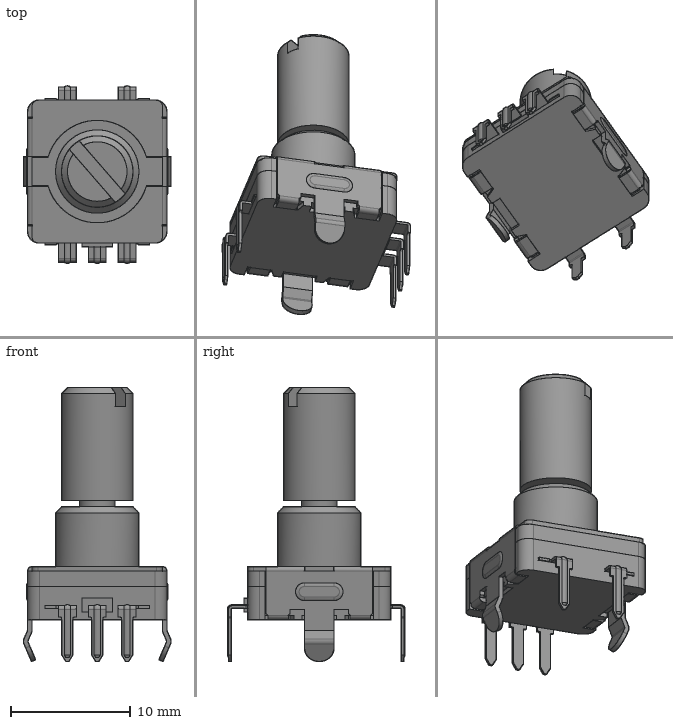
import cadquery as cq
import math

BASE_HEIGHT = 2.8
COVER_TOP = 4.48
BUSHING_TOP = 9.5
SHAFT_TOP = 19.5
TIP_DEPTH = 3.5

CASE_X = 11.7
CASE_Y = 12.0
CORNER_RADIUS = 1.0
SHEET = 0.4
INNER_X = CASE_X - 2 * SHEET
HOUSING_TOP = COVER_TOP - SHEET

PLATE_CORNER_RADIUS = 0.5
SIDE_WIDTH = 8.95
SIDE_GAP = 0.1
LEG_WIDTH = 2.5
ARM_GAP = 0.07
ARM_WIDTH = LEG_WIDTH - 2 * ARM_GAP
FLANGE_DIAMETER = 8.6
RELIEF_Y = 2.44
RELIEF_TOP = 0.9
CORNER_CUT = 0.15
TAB_INNER_Y = RELIEF_Y + CORNER_CUT
TAB_OUTER_Y = SIDE_WIDTH / 2 - CORNER_CUT
TAB_REACH = 1.2

BEAD_HEIGHT = 2.37
BEAD_STRAIGHT = 2.5
BEAD_RADIUS = 0.74
BEAD_FLAT_RADIUS = 0.44
BEAD_PROUD = 0.1

LEG_BEND_DEPTH = 0.87
LEG_KNEE_DEPTH = 1.8
LEG_KNEE_OUT = 0.4
KNEE_RADIUS = 0.53

FOOT_INNER_Y = 1.45
FOOT_OUTER_Y = 2.15
WALL_SLANT = 0.32

BOSS_WIDTH = 2.58
BOSS_BOTTOM = 0.67
BOSS_HEIGHT = 1.17
BOSS_PROUD = 0.32

BUSHING_DIAMETER = 7.0
SHAFT_DIAMETER = 6.0
NECK_DIAMETER = 3
NECK_GAP = 0.5
EDGE_CHAMFER = 0.5
SLOT_WIDTH = 1.1
SLOT_DEPTH = 1.59
SLOT_ANGLE = -49

PITCH = 2.5
FRONT_REACH = 7.61
BACK_REACH = 7.1
STRIP = 0.23
STRIP_TOP = 1.2
STRIP_BEND_RADIUS = 0.3
SHOULDER_WIDTH = 1.5
SHOULDER_BOTTOM = 0.23
PIN_WIDTH = 0.95
PIN_NOTCH_RADIUS = 0.1
TIP_WIDTH = 0.25
TIP_LENGTH = 0.55
EMBED = 1.0
RIB_WIDTH = 0.5
RIB_PROUD = 0.1
RIB_BOTTOM = 2.95
RIB_TAPER_LENGTH = 0.2
RIB_TAPER_INSET = 0.07
WING_TIP_X = 1.89
WING_SLOPE_X = 0.97
WING_PROUD = 0.14


def box(x0, x1, y0, y1, z0, z1):
    """Box between two opposite corners."""
    return cq.Workplane("XY").box(x1 - x0, y1 - y0, z1 - z0, centered=False).translate((x0, y0, z0))


def both_x_sides(solid):
    """A shape on the +X side together with its mirror image."""
    return solid.union(solid.mirror("YZ"))


def four_corners(solid):
    """A shape in the +X +Y quarter together with its three mirror images."""
    return both_x_sides(solid.union(solid.mirror("XZ")))



def terminal_rib(reach):
    """Rounded rib along the outside of a terminal, tapered just above the tip."""
    bend_y = -(reach - STRIP_BEND_RADIUS)
    bend_z = STRIP_TOP - STRIP_BEND_RADIUS
    diagonal = STRIP_BEND_RADIUS * math.sin(math.radians(45))
    start_y = EMBED - CASE_Y / 2
    path = (
        cq.Workplane("YZ")
        .moveTo(start_y, STRIP_TOP)
        .lineTo(bend_y, STRIP_TOP)
        .threePointArc((bend_y - diagonal, bend_z + diagonal), (-reach, bend_z))
        .lineTo(-reach, -RIB_BOTTOM)
    )
    rib = (
        cq.Workplane("XZ", origin=(0, start_y, STRIP_TOP))
        .moveTo(-RIB_WIDTH / 2, 0)
        .threePointArc((0, RIB_PROUD), (RIB_WIDTH / 2, 0))
        .close()
        .sweep(path)
    )
    root_y = STRIP - reach
    taper_angle = math.degrees(math.atan(RIB_TAPER_INSET / RIB_TAPER_LENGTH))
    rib_tip = (
        cq.Workplane("XY", origin=(0, 0, -RIB_BOTTOM))
        .moveTo(-RIB_WIDTH / 2, root_y)
        .lineTo(-RIB_WIDTH / 2, -reach)
        .threePointArc((0, -reach - RIB_PROUD), (RIB_WIDTH / 2, -reach))
        .lineTo(RIB_WIDTH / 2, root_y)
        .close()
        .extrude(-RIB_TAPER_LENGTH, taper=taper_angle)
    )
    return rib.union(rib_tip)


def terminal_strip(reach):
    """Bent strip with a wide shoulder, a narrow pin and a tapered tip."""
    strip = (
        cq.Workplane("YZ")
        .moveTo(EMBED - CASE_Y / 2, STRIP_TOP)
        .lineTo(-reach, STRIP_TOP)
        .lineTo(-reach, -TIP_DEPTH)
        .lineTo(STRIP - reach, -TIP_DEPTH)
        .lineTo(STRIP - reach, STRIP_TOP - STRIP)
        .lineTo(EMBED - CASE_Y / 2, STRIP_TOP - STRIP)
        .close()
        .extrude(SHOULDER_WIDTH / 2, both=True)
    )
    strip = strip.edges(cq.NearestToPointSelector((0, -reach, STRIP_TOP))).fillet(STRIP_BEND_RADIUS)
    strip = strip.edges(
        cq.NearestToPointSelector((0, STRIP - reach, STRIP_TOP - STRIP))
    ).fillet(STRIP_BEND_RADIUS - STRIP)
    half_outline = [
        (0, STRIP_TOP),
        (SHOULDER_WIDTH / 2, STRIP_TOP),
        (SHOULDER_WIDTH / 2, SHOULDER_BOTTOM),
        (PIN_WIDTH / 2, SHOULDER_BOTTOM),
        (PIN_WIDTH / 2, TIP_LENGTH - TIP_DEPTH),
        (TIP_WIDTH / 2, -TIP_DEPTH),
        (0, -TIP_DEPTH),
    ]
    outline = cq.Workplane("XZ").polyline(half_outline).mirrorY().extrude(reach)
    for side in (-1, 1):
        notch = (side * PIN_WIDTH / 2, -reach / 2, SHOULDER_BOTTOM)
        outline = outline.edges(cq.NearestToPointSelector(notch)).fillet(PIN_NOTCH_RADIUS)
    return strip.intersect(outline)


def terminal_wing(side):
    """Flat wing beside a terminal whose edge just shows on the face of the base."""
    face_y = -CASE_Y / 2
    wing = (
        cq.Workplane("XY", origin=(0, 0, STRIP_TOP - STRIP))
        .polyline([
            (0, face_y + EMBED),
            (0, face_y),
            (SHOULDER_WIDTH / 2, face_y),
            (WING_SLOPE_X, face_y - WING_PROUD),
            (WING_TIP_X, face_y - WING_PROUD),
            (WING_TIP_X, face_y + EMBED),
        ])
        .close()
        .extrude(STRIP)
    )
    if side < 0:
        wing = wing.mirror("YZ")
    return wing


def make_terminal(position, reach, back):
    """One terminal; position counts pitches from the centre, back puts it on the +Y side."""
    terminal = terminal_strip(reach).union(terminal_rib(reach))
    if back:
        terminal = terminal.rotate((0, 0, 0), (0, 0, 1), 180)
    if position != 0:
        wing = terminal_wing(position)
        if back:
            wing = wing.mirror("XZ")
        terminal = terminal.union(wing)
    return terminal.translate((position * PITCH, 0, 0))



def case_block(bottom, top):
    """Layer of the case: rounded corners, with both sides set back for the cover."""
    block = (
        cq.Workplane("XY", origin=(0, 0, bottom))
        .rect(CASE_X, CASE_Y)
        .extrude(top - bottom)
        .edges("|Z")
        .fillet(CORNER_RADIUS)
    )
    recess_y = SIDE_WIDTH / 2 + SIDE_GAP
    recess = box(INNER_X / 2, CASE_X / 2, -recess_y, recess_y, bottom, top)
    return block.cut(both_x_sides(recess))


def make_base(terminals):
    """Lower half of the case, with the boss and the seats of the terminals and cover tabs."""
    base = case_block(0, BASE_HEIGHT)
    boss_face = -CASE_Y / 2 - BOSS_PROUD
    boss_top = BOSS_BOTTOM + BOSS_HEIGHT
    boss = box(-BOSS_WIDTH / 2, BOSS_WIDTH / 2, boss_face, 0, BOSS_BOTTOM, boss_top)
    base = base.union(boss)
    recess_x = CASE_X / 2 - TAB_REACH
    tab_recess = (
        cq.Workplane("XY")
        .polyline([
            (INNER_X / 2, FOOT_OUTER_Y),
            (recess_x, FOOT_OUTER_Y + WALL_SLANT),
            (recess_x, SIDE_WIDTH / 2 + SIDE_GAP),
            (INNER_X / 2, SIDE_WIDTH / 2 + SIDE_GAP),
        ])
        .close()
        .extrude(SHEET)
    )
    base = base.cut(four_corners(tab_recess))
    leg_recess = box(recess_x, INNER_X / 2, -FOOT_INNER_Y, FOOT_INNER_Y, 0, SHEET)
    base = base.cut(both_x_sides(leg_recess))
    for terminal in terminals:
        base = base.cut(terminal)
    return base


def make_housing():
    """Upper half of the case, with the flange that fills the cover opening and the bushing."""
    housing = case_block(BASE_HEIGHT, HOUSING_TOP)
    flange = cq.Workplane("XY", origin=(0, 0, HOUSING_TOP)).circle(FLANGE_DIAMETER / 2).extrude(SHEET)
    arms = box(-INNER_X / 2, INNER_X / 2, -ARM_WIDTH / 2, ARM_WIDTH / 2, HOUSING_TOP, COVER_TOP)
    bushing = (
        cq.Workplane("XY", origin=(0, 0, HOUSING_TOP))
        .circle(BUSHING_DIAMETER / 2)
        .extrude(BUSHING_TOP - HOUSING_TOP)
        .faces(">Z")
        .chamfer(EDGE_CHAMFER)
    )
    bore = cq.Workplane("XY", origin=(0, 0, BASE_HEIGHT)).circle(NECK_DIAMETER / 2).extrude(BUSHING_TOP)
    return housing.union(flange).union(arms).union(bushing).cut(bore)



def cover_plate():
    """Top plate with the opening for the flange and its two arms."""
    plate = (
        cq.Workplane("XY", origin=(0, 0, HOUSING_TOP))
        .rect(INNER_X, CASE_Y)
        .extrude(SHEET)
        .edges("|Z")
        .fillet(PLATE_CORNER_RADIUS)
    )
    opening = cq.Workplane("XY", origin=(0, 0, HOUSING_TOP)).circle(FLANGE_DIAMETER / 2).extrude(SHEET)
    notch = box(-INNER_X / 2, INNER_X / 2, -LEG_WIDTH / 2, LEG_WIDTH / 2, HOUSING_TOP, COVER_TOP)
    return plate.cut(opening).cut(notch)


def cover_side():
    """Flat side on +X, with a rounded bend at the top, relief notches and lower corner cuts."""
    half_width = SIDE_WIDTH / 2
    half_outline = [
        (0, HOUSING_TOP),
        (half_width, HOUSING_TOP),
        (half_width, SHEET + CORNER_CUT),
        (TAB_OUTER_Y, SHEET),
        (TAB_INNER_Y, SHEET),
        (RELIEF_Y, SHEET + CORNER_CUT),
        (RELIEF_Y, RELIEF_TOP),
        (LEG_WIDTH / 2, RELIEF_TOP),
        (LEG_WIDTH / 2, 0),
        (0, 0),
    ]
    side = cq.Workplane("YZ", origin=(INNER_X / 2, 0, 0)).polyline(half_outline).mirrorY().extrude(SHEET)
    bend = (
        cq.Workplane("XZ", origin=(INNER_X / 2, half_width, HOUSING_TOP))
        .lineTo(0, SHEET)
        .radiusArc((SHEET, 0), SHEET)
        .close()
        .extrude(half_width - LEG_WIDTH / 2)
    )
    return side.union(bend).union(bend.mirror("XZ"))


def cover_tabs():
    """Two tabs on the +X side that fold in under the base with a rounded bend."""
    tab = (
        cq.Workplane("XZ", origin=(CASE_X / 2, TAB_OUTER_Y, 0))
        .moveTo(0, SHEET)
        .radiusArc((-SHEET, 0), SHEET)
        .lineTo(-TAB_REACH, 0)
        .lineTo(-TAB_REACH, SHEET)
        .close()
        .extrude(TAB_OUTER_Y - TAB_INNER_Y)
    )
    return tab.union(tab.mirror("XZ"))


def cover_bead():
    """Oval bead on the +X side, flat on top with convex flanks."""
    flank = BEAD_RADIUS - BEAD_FLAT_RADIUS
    flank_radius = (flank**2 + BEAD_PROUD**2) / (2 * BEAD_PROUD)

    def section(y):
        return (
            cq.Workplane("XZ", origin=(CASE_X / 2, y, BEAD_HEIGHT))
            .lineTo(BEAD_PROUD, 0)
            .lineTo(BEAD_PROUD, BEAD_FLAT_RADIUS)
            .radiusArc((0, BEAD_RADIUS), -flank_radius)
            .close()
        )

    half_straight = BEAD_STRAIGHT / 2
    upper = section(half_straight).extrude(BEAD_STRAIGHT)
    bead = upper.union(upper.rotate((0, 0, BEAD_HEIGHT), (1, 0, BEAD_HEIGHT), 180))
    for y in (-half_straight, half_straight):
        bead = bead.union(section(y).revolve(360, (0, 0, 0), (1, 0, 0)))
    return bead


def cover_leg():
    """Snap-in leg on the +X side: straight, kinked outward, then inward to a round end."""
    outer_x = CASE_X / 2
    knee_x = outer_x + LEG_KNEE_OUT
    angle = math.atan(LEG_KNEE_OUT / (LEG_KNEE_DEPTH - LEG_BEND_DEPTH))
    end_x = knee_x - (TIP_DEPTH - LEG_KNEE_DEPTH) * math.tan(angle)
    bend_shift = SHEET * math.tan(angle / 2)
    knee_shift = SHEET / math.cos(angle)
    leg = (
        cq.Workplane("XZ")
        .polyline([
            (outer_x, 0),
            (outer_x, -LEG_BEND_DEPTH),
            (knee_x, -LEG_KNEE_DEPTH),
            (end_x, -TIP_DEPTH),
            (end_x - SHEET * math.cos(angle), SHEET * math.sin(angle) - TIP_DEPTH),
            (knee_x - knee_shift, -LEG_KNEE_DEPTH),
            (INNER_X / 2, -LEG_BEND_DEPTH - bend_shift),
            (INNER_X / 2, 0),
        ])
        .close()
        .extrude(LEG_WIDTH / 2, both=True)
    )
    leg = leg.edges(cq.NearestToPointSelector((knee_x, 0, -LEG_KNEE_DEPTH))).fillet(KNEE_RADIUS)
    inner_knee = (knee_x - knee_shift, 0, -LEG_KNEE_DEPTH)
    leg = leg.edges(cq.NearestToPointSelector(inner_knee)).fillet(KNEE_RADIUS - SHEET)
    end_plane = cq.Plane(
        origin=(end_x, 0, -TIP_DEPTH),
        xDir=(0, 1, 0),
        normal=(math.cos(angle), 0, -math.sin(angle)),
    )
    end_radius = LEG_WIDTH / 2
    trim = (
        cq.Workplane(end_plane)
        .moveTo(-end_radius, end_radius)
        .threePointArc((0, 0), (end_radius, end_radius))
        .lineTo(end_radius, -SHEET)
        .lineTo(-end_radius, -SHEET)
        .close()
        .extrude(SHEET, both=True)
    )
    return leg.cut(trim)


def make_cover():
    """Folded sheet-metal cover that clamps the housing onto the base."""
    side = cover_side().union(cover_tabs()).union(cover_bead()).union(cover_leg())
    return cover_plate().union(both_x_sides(side))



def make_shaft():
    """Slotted shaft on a thinner neck that runs through the bushing."""
    head_bottom = BUSHING_TOP + NECK_GAP
    neck = (
        cq.Workplane("XY", origin=(0, 0, BASE_HEIGHT))
        .circle(NECK_DIAMETER / 2)
        .extrude(head_bottom - BASE_HEIGHT)
    )
    head = (
        cq.Workplane("XY", origin=(0, 0, head_bottom))
        .circle(SHAFT_DIAMETER / 2)
        .extrude(SHAFT_TOP - head_bottom)
        .faces(">Z")
        .chamfer(EDGE_CHAMFER)
    )
    slot = (
        cq.Workplane("XY", origin=(0, 0, SHAFT_TOP - SLOT_DEPTH))
        .transformed(rotate=(0, 0, SLOT_ANGLE))
        .rect(2 * SHAFT_DIAMETER, SLOT_WIDTH)
        .extrude(SLOT_DEPTH)
    )
    return neck.union(head).cut(slot)



terminals = [make_terminal(position, FRONT_REACH, False) for position in (-1, 0, 1)]
terminals += [make_terminal(position, BACK_REACH, True) for position in (-1, 1)]
base = make_base(terminals)
housing = make_housing()
cover = make_cover()
shaft = make_shaft()

bodies = [base, housing, cover, shaft, *terminals]
result = cq.Compound.makeCompound([body.solids().val() for body in bodies])